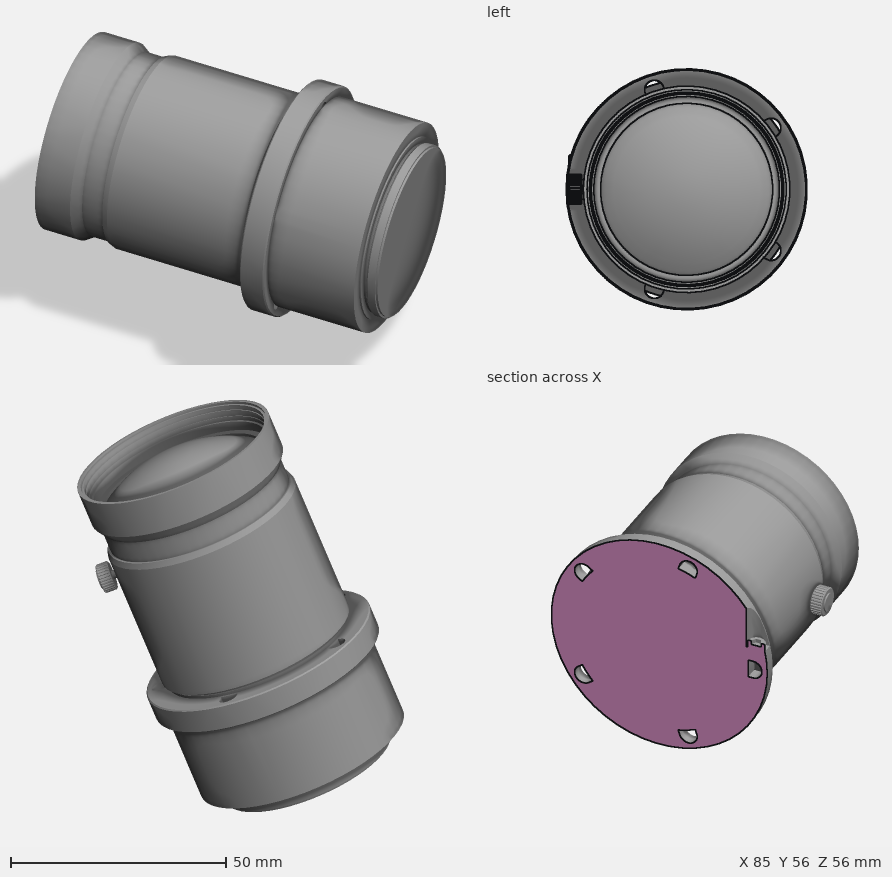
import cadquery as cq
import math


OVERALL_LENGTH = 85.02
RIM_END = 8.9
NECK_START = 11.3
NECK_END = 16.6
BODY_START = 18.0
BODY_END = 51.7
COLLAR_START = 52.6
FLANGE_START = 53.3
FLANGE_END = 59.4
BARREL_END = 81.1
SPIGOT_START = 81.5
RELIEF_START = 82.1
THREAD_START = 82.6
THREAD_END = 84.5

RIM_RADIUS = 24.0
NECK_RADIUS = 22.4
BODY_EDGE_RADIUS = 22.95
BODY_RADIUS = 47 / 2
GROOVE_RADIUS = 44.3 / 2
COLLAR_RADIUS = 45 / 2
FLANGE_RADIUS = 28.0
FLANGE_CHAMFER = 0.3
BARREL_RADIUS = 25.5
SHOULDER_RADIUS = 44.3 / 2
SPIGOT_RADIUS = 20.5
RELIEF_RADIUS = 40.5 / 2
THREAD_RADIUS = 21.0

BORE_STEPS = [(46.3 / 2, 0.6), (45.2 / 2, 1.8), (22.35, 3.3), (44.3 / 2, 4.4), (21.6, 6.7)]

LENS_RADIUS = 40 / 2
LENS_APEX = 1.0
LENS_EDGE = 7.4

FLANGE_SLOT_COUNT = 5
FLANGE_SLOT_WIDTH = 4.5
FLANGE_SLOT_END_CENTRE = 24.25
FLANGE_SLOT_FLOOR_RADIUS = 46.3 / 2

KNOB_X = 23.35
KNOB_DIAMETER = 7.0
KNOB_BOTTOM = 24.4
KNOB_TOP = 27.4
KNOB_CHAMFER = 0.25
KNOB_CAP_DIAMETER = 4.5
KNOB_CAP_HEIGHT = 0.35
SHANK_DIAMETER = 2.0
SHANK_EMBEDMENT = 2.0
KNURL_COUNT = 30
KNURL_DIAMETER = 0.4

CLAMP_X = (FLANGE_START + FLANGE_END) / 2
CLAMP_Y = 25.1
CLAMP_POCKET_WIDTH = 5.0
CLAMP_POCKET_FLOOR = 6.0
CLAMP_HEAD_DIAMETER = 4.5
CLAMP_HEAD_HEIGHT = 2.0
CLAMP_HEAD_CHAMFER = 0.3
CLAMP_SOCKET_ACROSS_FLATS = 2.2
CLAMP_SOCKET_DEPTH = 1.0


def make_barrel():
    """Solid of revolution with the outside steps, the stepped bore and the domed lens."""
    outline = [
        (0, BORE_STEPS[0][0]),
        (0, RIM_RADIUS),
        (RIM_END, RIM_RADIUS),
        (NECK_START, NECK_RADIUS),
        (NECK_END, NECK_RADIUS),
        (NECK_END, BODY_EDGE_RADIUS),
        (BODY_START, BODY_RADIUS),
        (BODY_END, BODY_RADIUS),
        (BODY_END, GROOVE_RADIUS),
        (COLLAR_START, GROOVE_RADIUS),
        (COLLAR_START, COLLAR_RADIUS),
        (FLANGE_START, COLLAR_RADIUS),
        (FLANGE_START, FLANGE_RADIUS - FLANGE_CHAMFER),
        (FLANGE_START + FLANGE_CHAMFER, FLANGE_RADIUS),
        (FLANGE_END - FLANGE_CHAMFER, FLANGE_RADIUS),
        (FLANGE_END, FLANGE_RADIUS - FLANGE_CHAMFER),
        (FLANGE_END, BARREL_RADIUS),
        (BARREL_END, BARREL_RADIUS),
        (BARREL_END, SHOULDER_RADIUS),
        (SPIGOT_START, SHOULDER_RADIUS),
        (SPIGOT_START, SPIGOT_RADIUS),
        (RELIEF_START, SPIGOT_RADIUS),
        (RELIEF_START, RELIEF_RADIUS),
        (THREAD_START, RELIEF_RADIUS),
        (THREAD_START, THREAD_RADIUS),
        (THREAD_END, THREAD_RADIUS),
        (THREAD_END, SPIGOT_RADIUS),
        (OVERALL_LENGTH, SPIGOT_RADIUS),
        (OVERALL_LENGTH, 0),
        (LENS_APEX, 0),
    ]
    sag = LENS_EDGE - LENS_APEX
    dome_radius = (LENS_RADIUS**2 + sag**2) / (2 * sag)
    mid_height = LENS_RADIUS / 2
    mid_x = LENS_APEX + dome_radius - math.sqrt(dome_radius**2 - mid_height**2)

    bore = []
    inner_radius = LENS_RADIUS
    for radius, depth in reversed(BORE_STEPS):
        bore.append((depth, inner_radius))
        bore.append((depth, radius))
        inner_radius = radius

    profile = cq.Workplane("XY").polyline(outline)
    profile = profile.threePointArc((mid_x, mid_height), (LENS_EDGE, LENS_RADIUS))
    for point in bore:
        profile = profile.lineTo(*point)
    return profile.close().revolve(360, (0, 0, 0), (1, 0, 0))


def make_flange_slots():
    """Ring of slots through the flange, ending on the front face of the rear barrel."""
    width = FLANGE_END - FLANGE_START
    front = cq.Workplane("YZ", origin=(FLANGE_START, 0, 0))
    floor = front.circle(FLANGE_SLOT_FLOOR_RADIUS).extrude(width)
    round_end = front.center(FLANGE_SLOT_END_CENTRE, 0).circle(FLANGE_SLOT_WIDTH / 2).extrude(width)
    straight = front.center(FLANGE_SLOT_END_CENTRE / 2, 0)
    straight = straight.rect(FLANGE_SLOT_END_CENTRE, FLANGE_SLOT_WIDTH).extrude(width)
    slot = round_end.union(straight).cut(floor)

    slots = slot
    for index in range(1, FLANGE_SLOT_COUNT):
        angle = index * 360 / FLANGE_SLOT_COUNT
        slots = slots.union(slot.rotate((0, 0, 0), (1, 0, 0), angle))
    return slots


def cylinder_along_y(diameter, start, end):
    """Cylinder on the thumbscrew axis between two Y positions."""
    base = cq.Workplane("XZ", origin=(KNOB_X, start, 0))
    return base.circle(diameter / 2).extrude(start - end)


def make_thumbscrew():
    """Shank, knurled head and raised cap."""
    head = cylinder_along_y(KNOB_DIAMETER, KNOB_BOTTOM, KNOB_TOP).edges().chamfer(KNOB_CHAMFER)
    knurl = (
        cq.Workplane("XZ", origin=(KNOB_X, KNOB_BOTTOM, 0))
        .polarArray(KNOB_DIAMETER / 2, 0, 360, KNURL_COUNT)
        .circle(KNURL_DIAMETER / 2)
        .extrude(KNOB_BOTTOM - KNOB_TOP)
    )
    cap = cylinder_along_y(KNOB_CAP_DIAMETER, KNOB_TOP, KNOB_TOP + KNOB_CAP_HEIGHT)
    shank = cylinder_along_y(SHANK_DIAMETER, BODY_RADIUS - SHANK_EMBEDMENT, KNOB_BOTTOM)
    return head.cut(knurl).union(cap).union(shank)


def add_clamp_screw(body):
    """Cut the open pocket into the flange edge and stand the socket head on its floor."""
    pocket_depth = FLANGE_RADIUS - CLAMP_POCKET_FLOOR
    opening = FLANGE_RADIUS - CLAMP_Y
    floor = cq.Workplane("XY", origin=(CLAMP_X, CLAMP_Y, CLAMP_POCKET_FLOOR))
    round_end = floor.circle(CLAMP_POCKET_WIDTH / 2).extrude(pocket_depth)
    mouth = floor.center(0, opening / 2).rect(CLAMP_POCKET_WIDTH, opening).extrude(pocket_depth)

    head = floor.circle(CLAMP_HEAD_DIAMETER / 2).extrude(CLAMP_HEAD_HEIGHT)
    head = head.faces(">Z").chamfer(CLAMP_HEAD_CHAMFER)
    across_corners = CLAMP_SOCKET_ACROSS_FLATS / math.cos(math.pi / 6)
    socket = (
        floor.workplane(offset=CLAMP_HEAD_HEIGHT - CLAMP_SOCKET_DEPTH)
        .transformed(rotate=(0, 0, 90))
        .polygon(6, across_corners)
        .extrude(CLAMP_SOCKET_DEPTH)
    )
    return body.cut(round_end).cut(mouth).union(head.cut(socket))


barrel = make_barrel().cut(make_flange_slots())
barrel = add_clamp_screw(barrel)
result = barrel.union(make_thumbscrew())